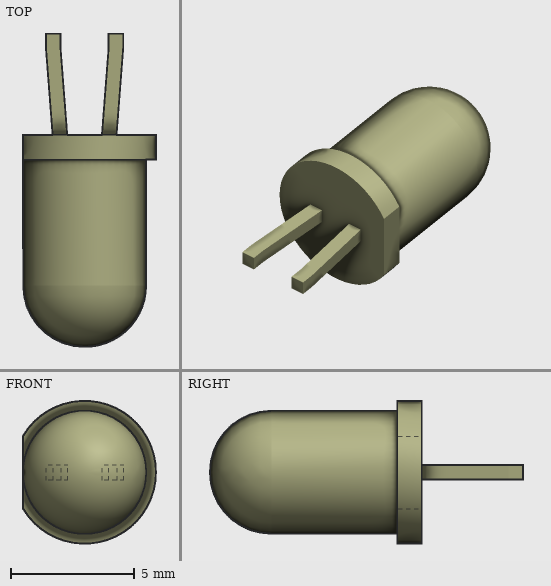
import cadquery as cq

lens_diameter = 5.0
flange_diameter = 5.8
flange_thickness = 1.0
overall_length = 12.71
barrel_length = 5.1

lead_size = 0.6
lead_tip_length = 0.6
lead_root_offset = 1.0
lead_tip_offset = 1.27

lens_radius = lens_diameter / 2
flange_radius = flange_diameter / 2

flange_back = flange_thickness
lead_end = overall_length - barrel_length - lens_radius
lead_bend = lead_end - lead_tip_length


def make_lens():
    """Barrel and hemispherical dome, revolved about the Y axis."""
    dome_start = -barrel_length
    dome_tip = dome_start - lens_radius
    return (
        cq.Workplane("XY")
        .lineTo(lens_radius, 0)
        .lineTo(lens_radius, dome_start)
        .radiusArc((0, dome_tip), lens_radius)
        .close()
        .revolve(360, (0, 0), (0, 1))
    )


def make_flange():
    """Round flange cut by a flat on -X, level with the side of the lens."""
    disc = cq.Workplane("XZ").circle(flange_radius).extrude(-flange_thickness)
    keep_width = lens_radius + flange_radius
    keep = cq.Workplane("XY").box(
        keep_width, flange_thickness, flange_diameter, centered=(False, False, True)
    ).translate((-lens_radius, 0, 0))
    return disc.intersect(keep)


def make_lead(side):
    """One lead: slants outward from the flange, then runs straight to its end."""
    half = lead_size / 2
    root = side * lead_root_offset
    tip = side * lead_tip_offset
    return (
        cq.Workplane("XY")
        .polyline([
            (root - half, flange_back),
            (root + half, flange_back),
            (tip + half, lead_bend),
            (tip + half, lead_end),
            (tip - half, lead_end),
            (tip - half, lead_bend),
        ])
        .close()
        .extrude(half, both=True)
    )


result = make_lens().union(make_flange())
for side in (-1, 1):
    result = result.union(make_lead(side))